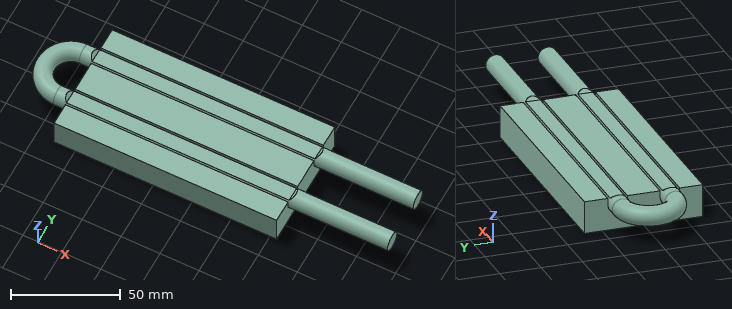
import cadquery as cq

total_length = 189.0
plate_length = 114.3
plate_width = 57.2
plate_height = 15.9
overall_height = 17.5

tube_diameter = 9.5
leg_spacing = 25.3
plate_offset = 23.6
ramp_length = 1.7

tube_radius = tube_diameter / 2
bend_radius = leg_spacing / 2
tube_axis_z = overall_height - tube_radius
bend_center_x = bend_radius + tube_radius
plate_end_x = plate_offset + plate_length
leg_positions = (-bend_radius, bend_radius)


def make_plate():
    """Plate with two round-bottomed, straight-walled channels along X."""
    plate = cq.Workplane("XY").box(
        plate_length, plate_width, plate_height, centered=(False, True, False)
    ).translate((plate_offset, 0, 0))
    for y in leg_positions:
        channel = (
            cq.Workplane("YZ", origin=(plate_offset, y, 0))
            .moveTo(-tube_radius, plate_height)
            .lineTo(-tube_radius, tube_axis_z)
            .threePointArc((0, tube_axis_z - tube_radius), (tube_radius, tube_axis_z))
            .lineTo(tube_radius, plate_height)
            .close()
            .extrude(plate_length)
        )
        plate = plate.cut(channel)
    return plate


def make_flat_cutter():
    """Volume above the plate, flaring outward at both ends to form the ramps."""
    return (
        cq.Workplane("XZ")
        .moveTo(plate_offset, plate_height)
        .lineTo(plate_end_x, plate_height)
        .lineTo(plate_end_x + ramp_length, overall_height)
        .lineTo(plate_offset - ramp_length, overall_height)
        .close()
        .extrude(plate_width / 2, both=True)
    )


def make_tube():
    """Solid U-shaped tube, flattened flush with the plate where it crosses it."""
    path = (
        cq.Workplane("XY", origin=(0, 0, tube_axis_z))
        .moveTo(total_length, -bend_radius)
        .lineTo(bend_center_x, -bend_radius)
        .threePointArc((tube_radius, 0), (bend_center_x, bend_radius))
        .lineTo(total_length, bend_radius)
    )
    tube = (
        cq.Workplane("YZ", origin=(total_length, -bend_radius, tube_axis_z))
        .circle(tube_radius)
        .sweep(path)
    )
    return tube.cut(make_flat_cutter())


plate = make_plate()
tube = make_tube()

result = cq.Compound.makeCompound([plate.solids().val(), tube.solids().val()])